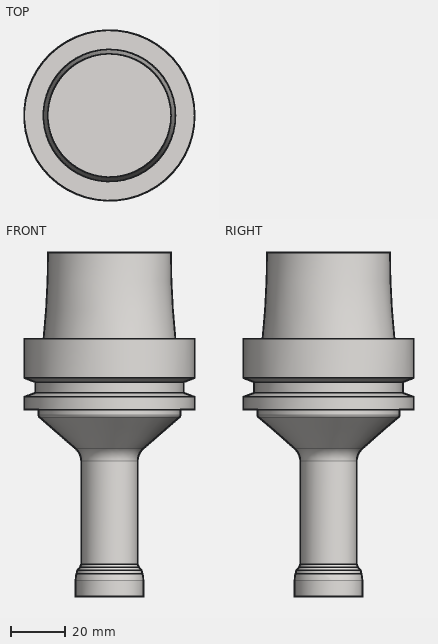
import cadquery as cq
import math

total_height = 126.9
flange_top = 95.0
groove_top_outer = 80.6
groove_top_inner = 79.0
groove_bottom_inner = 75.1
groove_bottom_outer = 73.6
flange_bottom = 68.9
neck_top = 50.0
neck_bottom = 11.9
nose_cone_top = 10.8
nose_cone_bottom = 9.6
head_top = 8.5
head_shoulder_bottom = 6.0

shank_top_radius = 22.7
shank_base_radius = 24.4
flange_radius = 63.0 / 2
groove_radius = 55.0 / 2
collar_radius = 52.5 / 2
neck_radius = 21.0 / 2
nose_cone_top_radius = 10.9
nose_cone_bottom_radius = 11.9
nose_radius = 12.2
head_radius = 12.5

cone_angle = math.radians(49)
root_blend_radius = 6.1
collar_edge_radius = 1.3

blend_centre_radius = neck_radius + root_blend_radius


def blend_point(angle):
    """Point on the root blend, at an angle swept from the end of the neck."""
    return (
        blend_centre_radius - root_blend_radius * math.cos(angle),
        neck_top + root_blend_radius * math.sin(angle),
    )


cone_root_radius, cone_root_height = blend_point(cone_angle)
collar_bottom = cone_root_height + (collar_radius - cone_root_radius) / math.tan(cone_angle)
collar_edge_centre_radius = collar_radius - collar_edge_radius
collar_edge_top = collar_bottom + collar_edge_radius * math.tan(cone_angle / 2)


def collar_edge_point(angle):
    """Point on the rounded collar edge, at an angle swept down from the collar."""
    return (
        collar_edge_centre_radius + collar_edge_radius * math.cos(angle),
        collar_edge_top - collar_edge_radius * math.sin(angle),
    )


shank_height = total_height - flange_top
shank_flare = shank_base_radius - shank_top_radius
shank_arc_radius = (shank_height**2 + shank_flare**2) / (2 * shank_flare)
shank_mid_angle = math.asin(shank_height / shank_arc_radius) / 2
shank_mid_point = (
    shank_top_radius + shank_arc_radius * (1 - math.cos(shank_mid_angle)),
    total_height - shank_arc_radius * math.sin(shank_mid_angle),
)

shoulder_height = head_top - head_shoulder_bottom
shoulder_drop = head_radius - nose_radius
shoulder_arc_radius = (shoulder_height**2 + shoulder_drop**2) / (2 * shoulder_drop)
shoulder_mid_angle = math.asin(shoulder_height / shoulder_arc_radius) / 2
shoulder_mid_point = (
    head_radius - shoulder_arc_radius * (1 - math.cos(shoulder_mid_angle)),
    head_shoulder_bottom + shoulder_arc_radius * math.sin(shoulder_mid_angle),
)


def make_holder():
    """Tool holder: shank, grooved flange, collar, cone, neck and flared nose."""
    profile = (
        cq.Workplane("XZ")
        .moveTo(0, head_top)
        .lineTo(nose_radius, head_top)
        .lineTo(nose_cone_bottom_radius, nose_cone_bottom)
        .lineTo(nose_cone_top_radius, nose_cone_top)
        .lineTo(neck_radius, neck_bottom)
        .lineTo(neck_radius, neck_top)
        .threePointArc(blend_point(cone_angle / 2), blend_point(cone_angle))
        .lineTo(*collar_edge_point(cone_angle))
        .threePointArc(collar_edge_point(cone_angle / 2), collar_edge_point(0))
        .lineTo(collar_radius, flange_bottom)
        .lineTo(flange_radius, flange_bottom)
        .lineTo(flange_radius, groove_bottom_outer)
        .lineTo(groove_radius, groove_bottom_inner)
        .lineTo(groove_radius, groove_top_inner)
        .lineTo(flange_radius, groove_top_outer)
        .lineTo(flange_radius, flange_top)
        .lineTo(shank_base_radius, flange_top)
        .threePointArc(shank_mid_point, (shank_top_radius, total_height))
        .lineTo(0, total_height)
        .close()
    )
    return profile.revolve(360, (0, 0, 0), (0, 1, 0))


def make_cutter_head():
    """Cutter head: a short disc under the nose with a rounded shoulder."""
    profile = (
        cq.Workplane("XZ")
        .lineTo(head_radius, 0)
        .lineTo(head_radius, head_shoulder_bottom)
        .threePointArc(shoulder_mid_point, (nose_radius, head_top))
        .lineTo(0, head_top)
        .close()
    )
    return profile.revolve(360, (0, 0, 0), (0, 1, 0))


holder = make_holder()
cutter_head = make_cutter_head()
result = cq.Compound.makeCompound([holder.val(), cutter_head.val()])